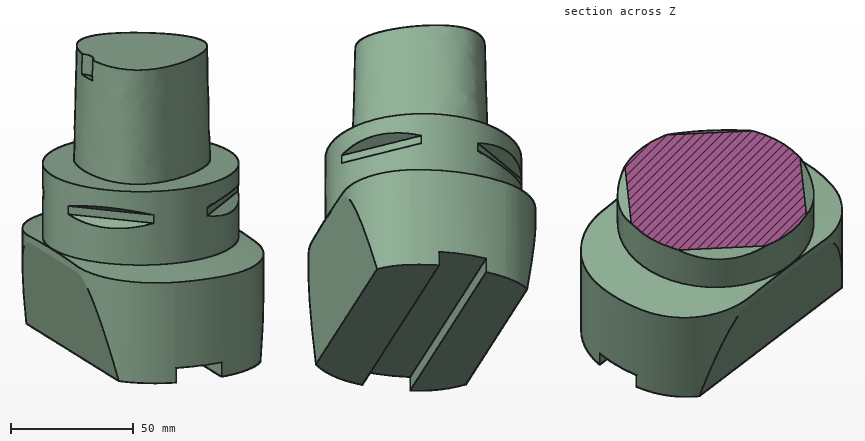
import cadquery as cq
import math

total_height = 124.0
flange_top = 75.8
base_top_at_flange = 44.5

base_length = 113.0
base_width = 80.4
end_radius = 60.0
left_corner_radius = 30.0
right_corner_radius = 35.0
top_slope = math.radians(5)

taper_start = 41.3
bottom_half_width = 31.9

slot_width = 20.1
slot_depth = 6.2
slot_center_y = -1.5

flange_radius = 80.0 / 2
groove_height = 64.0
groove_floor_distance = 35.5
groove_floor_width = 3.5
groove_flank_angle = math.radians(30)

shank_bottom_radius = 27.5
shank_top_radius = 26.3
lobe_offset = 2.1
curve_points = 24
notch_radius = 7.2
notch_center = 29.1
notch_depth = 8.5

clearance = 12.4


def end_points(corner_radius, end_center, side):
    """Points of the upper half of one end; side is +1 for the +X end and -1 for the -X end.

    Each corner arc lies inside its end arc and touches it, and also touches the long side.
    Returns the end of the long side, the middle of the corner, and the start of the end arc.
    """
    half_width = base_width / 2
    corner_y = half_width - corner_radius
    center_gap = end_radius - corner_radius
    joint_angle = math.asin(corner_y / center_gap)
    corner_x = center_gap * math.cos(joint_angle)
    mid_angle = (math.pi / 2 + joint_angle) / 2
    mid_x = corner_x + corner_radius * math.cos(mid_angle)
    mid_y = corner_y + corner_radius * math.sin(mid_angle)
    joint_x = end_radius * math.cos(joint_angle)
    joint_y = end_radius * math.sin(joint_angle)
    upper_points = [(corner_x, half_width), (mid_x, mid_y), (joint_x, joint_y)]
    return [(end_center + side * x, y) for x, y in upper_points]


def below(point):
    return (point[0], -point[1])


def make_base():
    half_width = base_width / 2
    right_tip = end_radius
    left_tip = right_tip - base_length
    right_flat, right_mid, right_joint = end_points(right_corner_radius, 0, 1)
    left_flat, left_mid, left_joint = end_points(left_corner_radius, left_tip + end_radius, -1)
    base = (
        cq.Workplane("XY")
        .moveTo(*left_flat)
        .lineTo(*right_flat)
        .threePointArc(right_mid, right_joint)
        .threePointArc((right_tip, 0), below(right_joint))
        .threePointArc(below(right_mid), below(right_flat))
        .lineTo(*below(left_flat))
        .threePointArc(below(left_mid), below(left_joint))
        .threePointArc((left_tip, 0), left_joint)
        .threePointArc(left_mid, left_flat)
        .close()
        .extrude(base_top_at_flange)
    )
    outer_radius = base_length
    outer_height = base_top_at_flange - (outer_radius - flange_radius) * math.tan(top_slope)
    cone_top = (
        cq.Workplane("XZ")
        .moveTo(flange_radius, base_top_at_flange)
        .lineTo(outer_radius, outer_height)
        .lineTo(outer_radius, total_height)
        .lineTo(flange_radius, total_height)
        .close()
        .revolve(360, (0, 0, 0), (0, 1, 0))
    )
    side_wedge = (
        cq.Workplane("YZ")
        .moveTo(bottom_half_width, 0)
        .lineTo(half_width, taper_start)
        .lineTo(half_width + clearance, taper_start)
        .lineTo(half_width + clearance, 0)
        .close()
        .extrude(base_length, both=True)
    )
    drive_slot = cq.Workplane("XY").box(2 * base_length, slot_width, 2 * slot_depth)
    drive_slot = drive_slot.translate((0, slot_center_y, 0))
    base = base.cut(cone_top).cut(side_wedge).cut(side_wedge.mirror("XZ"))
    return base.cut(drive_slot)


def make_flange():
    flange = cq.Workplane("XY").workplane(offset=taper_start).circle(flange_radius)
    flange = flange.extrude(flange_top - taper_start)
    floor_half = groove_floor_width / 2
    mouth_distance = flange_radius + clearance
    mouth_half = floor_half + (mouth_distance - groove_floor_distance) * math.tan(groove_flank_angle)
    groove = (
        cq.Workplane("XZ")
        .moveTo(groove_floor_distance, groove_height - floor_half)
        .lineTo(mouth_distance, groove_height - mouth_half)
        .lineTo(mouth_distance, groove_height + mouth_half)
        .lineTo(groove_floor_distance, groove_height + floor_half)
        .close()
        .extrude(flange_radius, both=True)
    )
    for angle in (45, 135, 225, 315):
        flange = flange.cut(groove.rotate((0, 0, 0), (0, 0, 1), angle))
    return flange


def lobed_wire(radius, height):
    """Closed three-lobed curve at a given height, with one lobe pointing along +Y."""
    points = []
    for step in range(curve_points):
        angle = 2 * math.pi * step / curve_points
        x = lobe_offset * math.sin(2 * angle) - radius * math.sin(angle)
        y = radius * math.cos(angle) + lobe_offset * math.cos(2 * angle)
        points.append(cq.Vector(x, y, height))
    return cq.Wire.assembleEdges([cq.Edge.makeSpline(points, periodic=True)])


def make_shank():
    bottom_wire = lobed_wire(shank_bottom_radius, flange_top)
    top_wire = lobed_wire(shank_top_radius, total_height)
    shank = cq.Workplane("XY").add(cq.Solid.makeLoft([bottom_wire, top_wire], True))
    notch = (
        cq.Workplane("XY")
        .workplane(offset=total_height - notch_depth)
        .center(0, -notch_center)
        .circle(notch_radius)
        .extrude(notch_depth + clearance)
    )
    return shank.cut(notch)


result = make_base().union(make_flange()).union(make_shank())